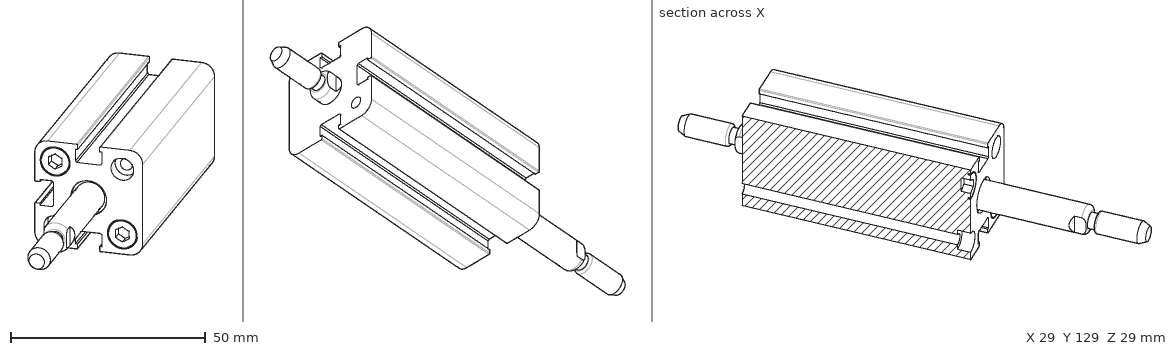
import cadquery as cq
import math

BODY_SIDE = 29.0
BODY_FRONT = -19.0
BODY_BACK = 44.1
CORNER_RADIUS = 3.5

SLOT_DEPTH = 5.0
SLOT_OPENING = 5.9
SLOT_WIDTH = 7.1
SLOT_LIP = 1.4
SLOT_EDGE_RADIUS = 0.3
SLOT_FLOOR_CHAMFER = 0.4
SLOT_ANGLES = (0, 90, 180)

CORNER_OFFSET = 9.0
THROUGH_DIAMETER = 3.2
COUNTERBORE_DIAMETER = 6.0
COUNTERBORE_DEPTH = 3.6
HEAD_POCKET_DIAMETER = 8.0
HEAD_DIAMETER = 7.5
HEAD_GAP_DEPTH = 0.6
HEX_ACROSS_FLATS = 3.6
HEX_DEPTH = 2.6

TOTAL_LENGTH = 129.0
ROD_DIAMETER = 8.0
ROD_RECESS_DIAMETER = 9.5
ROD_RECESS_DEPTH = 1.0
SHOULDER_END = 48.5
SHOULDER_RADIUS = 1.3
NECK_DIAMETER = 4.4
THREAD_DIAMETER = 6.0
NECK_END = 50.5
THREAD_START_RADIUS = 0.6
THREAD_TIP_DIAMETER = 4.1
THREAD_TIP_LENGTH = 2.0
FLAT_SPACING = 6.0
FLAT_LENGTH = 3.2
FLAT_RAMP_LENGTH = 1.2


def cylinder_y(x, z, y_start, length, diameter):
    """Cylinder parallel to Y that runs from y_start towards +Y."""
    return cq.Workplane(
        cq.Solid.makeCylinder(diameter / 2, length, cq.Vector(x, y_start, z), cq.Vector(0, 1, 0))
    )


def sketch_xz(y):
    """XZ workplane at y; a negative extrusion from it runs towards +Y."""
    return cq.Workplane("XZ", origin=(0, y, 0))


def make_slot(length):
    """Slot in the top side: rounded outer edges, wider below the lip, chamfered at the floor."""
    top = BODY_SIDE / 2
    lip = top - SLOT_LIP
    floor = top - SLOT_DEPTH
    half_opening = SLOT_OPENING / 2
    half_mouth = half_opening + SLOT_EDGE_RADIUS
    half_width = SLOT_WIDTH / 2
    edge_bottom = top - SLOT_EDGE_RADIUS
    wall_bottom = floor + SLOT_FLOOR_CHAMFER
    half_floor = half_width - SLOT_FLOOR_CHAMFER
    slot = (
        sketch_xz(BODY_FRONT)
        .moveTo(half_mouth, top)
        .radiusArc((half_opening, edge_bottom), -SLOT_EDGE_RADIUS)
        .lineTo(half_opening, lip)
        .lineTo(half_width, lip)
        .lineTo(half_width, wall_bottom)
        .lineTo(half_floor, floor)
        .lineTo(-half_floor, floor)
        .lineTo(-half_width, wall_bottom)
        .lineTo(-half_width, lip)
        .lineTo(-half_opening, lip)
        .lineTo(-half_opening, edge_bottom)
        .radiusArc((-half_mouth, top), -SLOT_EDGE_RADIUS)
        .close()
    )
    return slot.extrude(-length)


def make_body():
    """Square block with rounded long edges and its T-slots."""
    length = BODY_BACK - BODY_FRONT
    body = sketch_xz(BODY_FRONT).rect(BODY_SIDE, BODY_SIDE).extrude(-length)
    body = body.edges("|Y").fillet(CORNER_RADIUS)
    slot = make_slot(length)
    for angle in SLOT_ANGLES:
        body = body.cut(slot.rotate((0, 0, 0), (0, 1, 0), -angle))
    return body


def cut_corner_hole(body, x, z):
    """Through hole with a counterbore in the front face."""
    body = body.cut(cylinder_y(x, z, BODY_FRONT, BODY_BACK - BODY_FRONT, THROUGH_DIAMETER))
    return body.cut(cylinder_y(x, z, BODY_FRONT, COUNTERBORE_DEPTH, COUNTERBORE_DIAMETER))


def cut_cap_screw(body, x, z):
    """Flush screw head: a ring gap around it and a hexagon socket, corners up and down."""
    gap = cylinder_y(x, z, BODY_FRONT, HEAD_GAP_DEPTH, HEAD_POCKET_DIAMETER)
    gap = gap.cut(cylinder_y(x, z, BODY_FRONT, HEAD_GAP_DEPTH, HEAD_DIAMETER))
    across_corners = HEX_ACROSS_FLATS / math.cos(math.radians(30))
    hexagon = sketch_xz(BODY_FRONT).center(x, z).transformed(rotate=(0, 0, 90)).polygon(6, across_corners)
    return body.cut(gap).cut(hexagon.extrude(-HEX_DEPTH))


def make_rod_half():
    """Half of the rod from Y = 0 to its +Y tip, with two wrench flats facing X."""
    rod_radius = ROD_DIAMETER / 2
    neck_radius = NECK_DIAMETER / 2
    thread_radius = THREAD_DIAMETER / 2
    tip = TOTAL_LENGTH / 2
    profile = (
        cq.Workplane("XY")
        .lineTo(rod_radius, 0)
        .lineTo(rod_radius, SHOULDER_END - SHOULDER_RADIUS)
        .radiusArc((rod_radius - SHOULDER_RADIUS, SHOULDER_END), -SHOULDER_RADIUS)
        .lineTo(neck_radius, SHOULDER_END)
        .lineTo(neck_radius, NECK_END)
        .lineTo(thread_radius - THREAD_START_RADIUS, NECK_END)
        .radiusArc((thread_radius, NECK_END + THREAD_START_RADIUS), -THREAD_START_RADIUS)
        .lineTo(thread_radius, tip - THREAD_TIP_LENGTH)
        .lineTo(THREAD_TIP_DIAMETER / 2, tip)
        .lineTo(0, tip)
        .close()
    )
    rod = profile.revolve(360, (0, 0, 0), (0, 1, 0))

    flat_x = FLAT_SPACING / 2
    flat_start = SHOULDER_END - FLAT_LENGTH
    flat_outline = [
        (flat_x, SHOULDER_END),
        (flat_x, flat_start),
        (rod_radius, flat_start - FLAT_RAMP_LENGTH),
        (rod_radius, SHOULDER_END),
    ]
    flat_cut = cq.Workplane("XY").polyline(flat_outline).close().extrude(rod_radius, both=True)
    return rod.cut(flat_cut).cut(flat_cut.mirror("YZ"))


body = make_body()
for side in (1, -1):
    body = cut_corner_hole(body, side * CORNER_OFFSET, side * CORNER_OFFSET)
    body = cut_cap_screw(body, -side * CORNER_OFFSET, side * CORNER_OFFSET)
body = body.cut(cylinder_y(0, 0, BODY_FRONT, ROD_RECESS_DEPTH, ROD_RECESS_DIAMETER))

rod_half = make_rod_half()
result = body.union(rod_half).union(rod_half.mirror("XZ"))